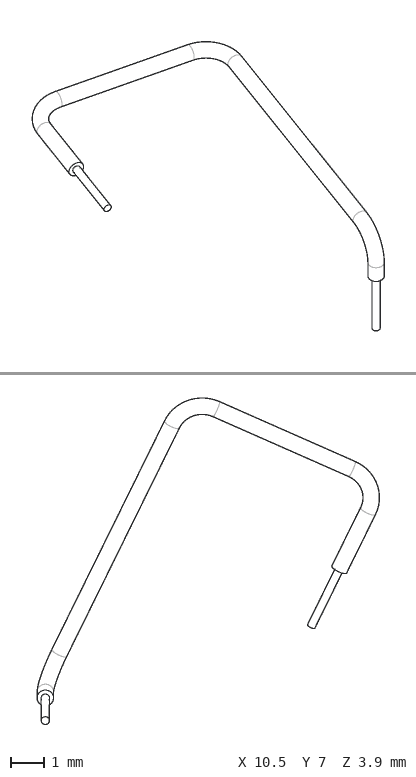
import cadquery as cq
import math

overall_x = 10.5
overall_y = 7.0
overall_z = 3.9

insulation_diameter = 0.5
core_diameter = 0.25
bend_radius = 1.0

horizontal_insulation_end = 3.3
horizontal_core_length = 2.0
vertical_core_length = 2.1

insulation_radius = insulation_diameter / 2
span_x = overall_x - insulation_diameter
span_y = overall_y - insulation_diameter
horizontal_tip_x = horizontal_insulation_end - insulation_radius
bottom_z = insulation_radius - overall_z
vertical_tip_z = bottom_z + vertical_core_length

bend_inset = bend_radius * (1 - math.sqrt(0.5))


def bend_edges(start, corner, toward_start, toward_end):
    """Return the straight run up to a corner, its 90 degree arc and the arc's end point."""
    arc_start = corner + toward_start * bend_radius
    arc_middle = corner + (toward_start + toward_end) * bend_inset
    arc_end = corner + toward_end * bend_radius
    run = cq.Edge.makeLine(start, arc_start)
    arc = cq.Edge.makeThreePointArc(arc_start, arc_middle, arc_end)
    return [run, arc], arc_end


def centreline():
    """Trace the insulated wire from its horizontal tip to its vertical tip."""
    along_x = cq.Vector(1, 0, 0)
    along_y = cq.Vector(0, 1, 0)
    along_z = cq.Vector(0, 0, 1)
    bends = [
        (cq.Vector(0, 0, 0), along_x, along_y),
        (cq.Vector(0, span_y, 0), -along_y, along_x),
        (cq.Vector(span_x, span_y, 0), -along_x, -along_z),
    ]
    point = cq.Vector(horizontal_tip_x, 0, 0)
    edges = []
    for corner, toward_start, toward_end in bends:
        new_edges, point = bend_edges(point, corner, toward_start, toward_end)
        edges += new_edges
    edges.append(cq.Edge.makeLine(point, cq.Vector(span_x, span_y, vertical_tip_z)))
    return cq.Wire.assembleEdges(edges)


def insulated_wire():
    """Sweep the insulation circle along the bent centreline."""
    section = cq.Workplane("YZ", origin=(horizontal_tip_x, 0, 0)).circle(insulation_radius)
    return section.sweep(cq.Workplane(obj=centreline()))


def bare_core(plane, tip, length):
    """Make a stripped core reaching a signed length along the plane normal from an insulation tip."""
    return cq.Workplane(plane, origin=tip).circle(core_diameter / 2).extrude(length)


horizontal_core = bare_core("YZ", (horizontal_tip_x, 0, 0), horizontal_core_length)
vertical_core = bare_core("XY", (span_x, span_y, vertical_tip_z), -vertical_core_length)

result = insulated_wire().union(horizontal_core).union(vertical_core)